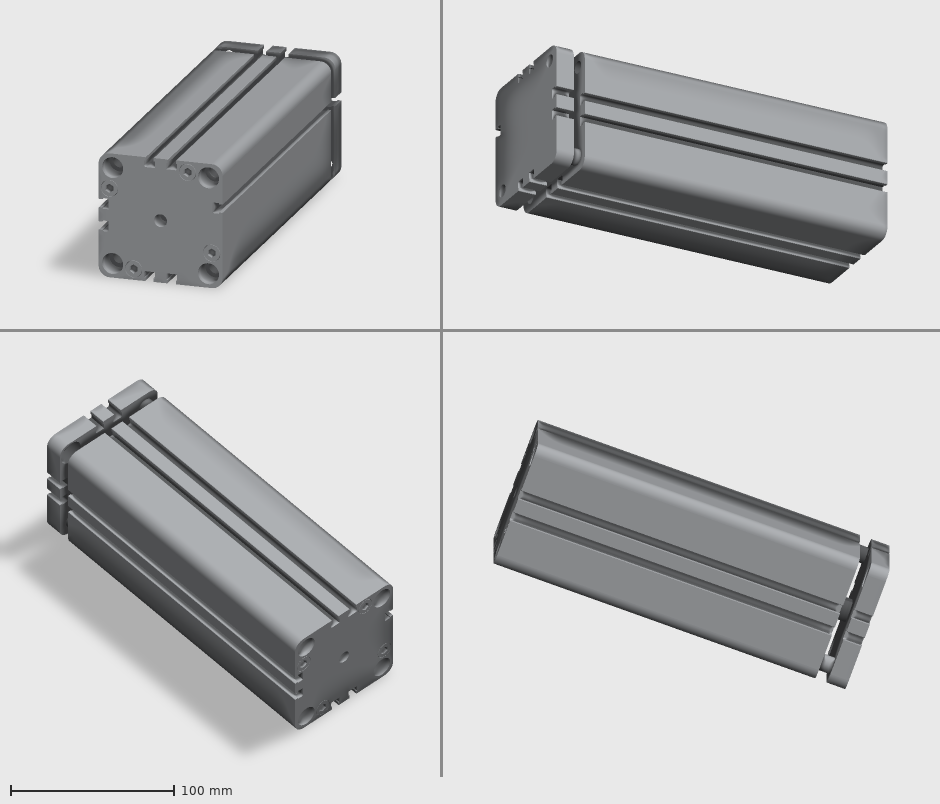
import cadquery as cq
import math


total_length = 229.5
side = 80.0
corner_radius = 14.0 / 2
plate_thickness = 12.0
gap = 7.5
plate_front = total_length - plate_thickness
body_length = plate_front - gap
half_side = side / 2

slot_neck_width = 5.3
slot_neck_depth = 2.3
slot_width = 6.9
slot_depth = 6.5
slot_corner_radius = 1.1
slot_mouth_chamfer = 0.2
slot_rib_width = 9.2
paired_slot_offset = (slot_rib_width + slot_neck_width) / 2
single_slot_height = 12.0

corner_hole_offset = 31.0
corner_hole_diameter = 8.3
corner_bore_diameter = 13.5
corner_bore_depth = 13.8
blind_hole_depth = 46.0
plate_recess_diameter = 16.0
plate_recess_depth = 9.2

screw_near_offset = 17.5
screw_far_offset = 33.0
screw_bore_diameter = 11.0
screw_head_diameter = 10.5
screw_head_height = 6.0
socket_width = 5.0
socket_depth = 3.5

port_diameter = 8.3
port_depth = 11.5
rod_diameter = 16.0
rod_flats_width = 13.0
rod_flat_length = 5.5
rod_end_chamfer_length = 2.0
rod_end_chamfer_depth = 0.5
pin_offset = 29.8
pin_diameter = 10.5


def cylinder_along_y(x, z, diameter, start, end):
    """Round bar parallel to Y, from Y = start to Y = end."""
    axis_start = cq.Vector(x, start, z)
    return cq.Workplane(cq.Solid.makeCylinder(diameter / 2, end - start, axis_start, cq.Vector(0, 1, 0)))


def rounded_block(start, end):
    """Square block with rounded long edges."""
    block = cq.Workplane().box(side, end - start, side)
    return block.edges("|Y").fillet(corner_radius).translate((0, (start + end) / 2, 0))


def slot_cutter(offset):
    """Plain slot with a narrow neck in the +Z side, centred at X = offset."""
    neck = cq.Workplane().box(slot_neck_width, total_length, slot_depth)
    chamber_height = slot_depth - slot_neck_depth
    chamber = cq.Workplane().box(slot_width, total_length, chamber_height)
    chamber = chamber.translate((0, 0, (chamber_height - slot_depth) / 2))
    slot = neck.union(chamber)
    return slot.translate((offset, total_length / 2, half_side - slot_depth / 2))


def slot_pair():
    """Two mirrored slots in the +Z side, each with a chamfered mouth and a rounded outer bottom corner."""
    slot = slot_cutter(paired_slot_offset)
    slot = slot.edges("|Y").edges("<Z").edges(">X").fillet(slot_corner_radius)
    mouth_half = slot_neck_width / 2
    mouth = (
        cq.Workplane("XZ")
        .moveTo(-mouth_half - slot_mouth_chamfer, 0)
        .lineTo(mouth_half + slot_mouth_chamfer, 0)
        .lineTo(mouth_half, -slot_mouth_chamfer)
        .lineTo(-mouth_half, -slot_mouth_chamfer)
        .close()
        .extrude(-total_length)
        .translate((paired_slot_offset, 0, half_side))
    )
    slot = slot.union(mouth)
    return slot.union(slot.mirror("YZ"))


def turned(shape, degrees):
    """Shape turned about the Y axis; +90 takes the +Z side to the +X side."""
    return shape.rotate((0, 0, 0), (0, 1, 0), degrees)


def piston_rod():
    """Rod crossing the gap, chamfered at the plate, with two wrench flats that end in 45 degree ramps."""
    radius = rod_diameter / 2
    tip_radius = radius - rod_end_chamfer_depth
    chamfer_start = plate_front - rod_end_chamfer_length
    rod = (
        cq.Workplane("XY")
        .moveTo(0, body_length)
        .lineTo(radius, body_length)
        .lineTo(radius, chamfer_start)
        .lineTo(tip_radius, plate_front)
        .lineTo(0, plate_front)
        .close()
        .revolve(360, (0, 0, 0), (0, 1, 0))
    )
    flat = rod_flats_width / 2
    flat_end = plate_front - rod_flat_length
    flat_cutter = (
        cq.Workplane("XY")
        .moveTo(flat, plate_front)
        .lineTo(flat, flat_end)
        .lineTo(flat + gap, flat_end - gap)
        .lineTo(flat + gap, plate_front)
        .close()
        .extrude(radius, both=True)
    )
    return rod.cut(flat_cutter).cut(flat_cutter.mirror("YZ"))


def tie_screw_cutter(x, z):
    """Clearance around a screw head plus its hexagon socket."""
    bore = cylinder_along_y(x, z, screw_bore_diameter, 0, screw_head_height)
    head = cylinder_along_y(x, z, screw_head_diameter, 0, screw_head_height)
    socket_circle = socket_width / math.cos(math.pi / 6)
    socket = (
        cq.Workplane("XZ")
        .polygon(6, socket_circle)
        .extrude(-socket_depth)
        .rotate((0, 0, 0), (0, 1, 0), 90)
        .translate((x, 0, z))
    )
    return bore.cut(head).union(socket)


result = rounded_block(0, body_length).union(rounded_block(plate_front, total_length))
result = result.union(piston_rod())
for sign in (-1, 1):
    pin = cylinder_along_y(sign * pin_offset, sign * pin_offset, pin_diameter, body_length, plate_front)
    result = result.union(pin)

for angle in (0, -90, 180):
    result = result.cut(turned(slot_pair(), angle))
result = result.cut(turned(slot_cutter(-single_slot_height), 90))

for x_sign in (-1, 1):
    for z_sign in (-1, 1):
        x = x_sign * corner_hole_offset
        z = z_sign * corner_hole_offset
        on_pin_diagonal = x_sign == z_sign
        hole_end = blind_hole_depth if on_pin_diagonal else total_length
        result = result.cut(cylinder_along_y(x, z, corner_bore_diameter, 0, corner_bore_depth))
        result = result.cut(cylinder_along_y(x, z, corner_hole_diameter, 0, hole_end))
        if not on_pin_diagonal:
            recess_end = plate_front + plate_recess_depth
            result = result.cut(cylinder_along_y(x, z, plate_recess_diameter, plate_front, recess_end))

for x, z in (
    (screw_near_offset, screw_far_offset),
    (screw_far_offset, -screw_near_offset),
    (-screw_near_offset, -screw_far_offset),
    (-screw_far_offset, screw_near_offset),
):
    result = result.cut(tie_screw_cutter(x, z))

result = result.cut(cylinder_along_y(0, 0, port_diameter, 0, port_depth))